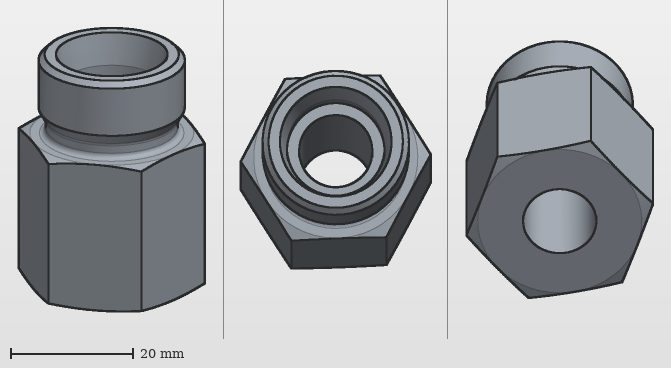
import cadquery as cq
import math

total_height = 40
through_bore_diameter = 12

hex_height = 26
hex_across_flats = 27.0
hex_across_corners = hex_across_flats / math.cos(math.radians(30))
hex_rotation = 89.8
hex_face_diameter = 26.9
hex_chamfer_angle = 15
corner_clearance = 0.4

collar_radius = 12
collar_chamfer = 1.0
undercut_radius = 10.85
undercut_fillet = 1.0
undercut_taper_angle = 30
collar_bottom = 30.6

seat_diameter = 18.3
seat_half_angle = 12
counterbore_diameter = 16
counterbore_depth = 8.4


def make_hex_body():
    """Hexagonal prism with its corners cut back by a shallow cone at both ends."""
    prism = (
        cq.Workplane("XY")
        .transformed(rotate=(0, 0, hex_rotation))
        .polygon(6, hex_across_corners)
        .extrude(hex_height)
    )
    face_radius = hex_face_diameter / 2
    outer_radius = hex_across_corners / 2 + corner_clearance
    drop = (outer_radius - face_radius) * math.tan(math.radians(hex_chamfer_angle))
    envelope = (
        cq.Workplane("XZ")
        .moveTo(0, 0)
        .lineTo(face_radius, 0)
        .lineTo(outer_radius, drop)
        .lineTo(outer_radius, hex_height - drop)
        .lineTo(face_radius, hex_height)
        .lineTo(0, hex_height)
        .close()
        .revolve(360, (0, 0, 0), (0, 1, 0))
    )
    return prism.intersect(envelope)


def make_collar():
    """Collar above the hexagon, with a filleted and tapered undercut at its foot."""
    taper = math.radians(undercut_taper_angle)
    fillet_width = undercut_fillet * (1 - math.cos(taper))
    fillet_height = undercut_fillet * math.sin(taper)
    taper_start_radius = undercut_radius + fillet_width
    taper_start = collar_bottom - (collar_radius - taper_start_radius) / math.tan(taper)
    fillet_start = taper_start - fillet_height
    fillet_middle = (
        undercut_radius + undercut_fillet * (1 - math.cos(taper / 2)),
        fillet_start + undercut_fillet * math.sin(taper / 2),
    )
    foot_offset = undercut_fillet * (1 - math.sin(math.radians(45)))
    foot_middle = (undercut_radius + foot_offset, hex_height + foot_offset)
    return (
        cq.Workplane("XZ")
        .moveTo(0, hex_height)
        .lineTo(undercut_radius + undercut_fillet, hex_height)
        .threePointArc(foot_middle, (undercut_radius, hex_height + undercut_fillet))
        .lineTo(undercut_radius, fillet_start)
        .threePointArc(fillet_middle, (taper_start_radius, taper_start))
        .lineTo(collar_radius, collar_bottom)
        .lineTo(collar_radius, total_height - collar_chamfer)
        .lineTo(collar_radius - collar_chamfer, total_height)
        .lineTo(0, total_height)
        .close()
        .revolve(360, (0, 0, 0), (0, 1, 0))
    )


def make_bore():
    """Through bore, counterbore and conical seat as one cutting solid."""
    seat_radius = seat_diameter / 2
    counterbore_radius = counterbore_diameter / 2
    bore_radius = through_bore_diameter / 2
    seat_depth = (seat_radius - counterbore_radius) / math.tan(math.radians(seat_half_angle))
    counterbore_floor = total_height - counterbore_depth
    return (
        cq.Workplane("XZ")
        .moveTo(0, 0)
        .lineTo(bore_radius, 0)
        .lineTo(bore_radius, counterbore_floor)
        .lineTo(counterbore_radius, counterbore_floor)
        .lineTo(counterbore_radius, total_height - seat_depth)
        .lineTo(seat_radius, total_height)
        .lineTo(0, total_height)
        .close()
        .revolve(360, (0, 0, 0), (0, 1, 0))
    )


result = make_hex_body().union(make_collar()).cut(make_bore())